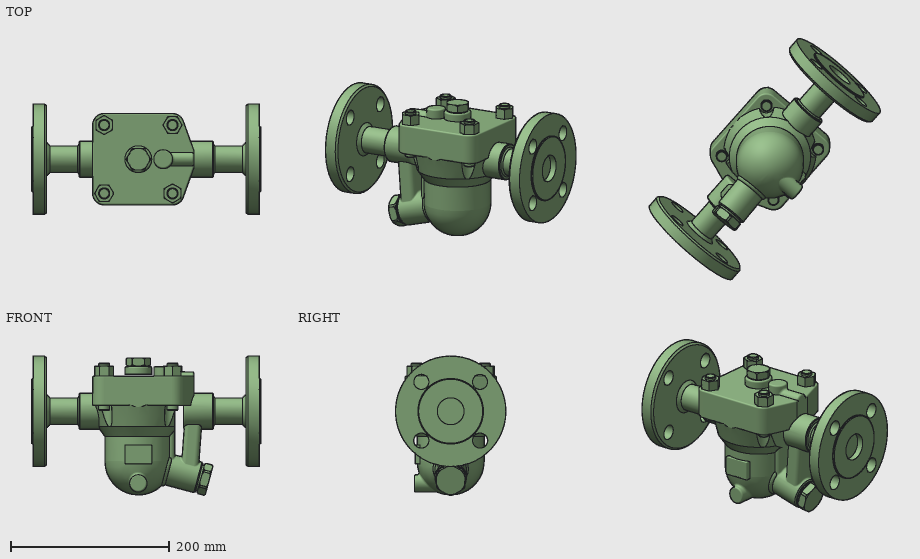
import cadquery as cq
import math


inlet_end_x = -135.0
outlet_end_x = 155.0
flange_dia = 140.0
flange_thickness = 19.0
flange_chamfer = 2.5
raised_face_dia = 83.0
raised_face_height = 2.0
raised_face_chamfer = 1.0
bore_dia = 34.0
bore_depth = 8.0
flange_hole_dia = 19.0
flange_hole_circle_dia = 105.0
flange_hole_count = 4
pipe_dia = 34.0
hub_height = 4.3
socket_dia = 46.0
socket_edge_chamfer = 1.0
weld_dia = 38.0
weld_length = (weld_dia - pipe_dia) / 2
inlet_socket_x = -75.0
outlet_socket_x = 95.0

cover_top_z = 44.5
cover_seam_z = 27.0
body_flange_bottom_z = 7.0
plate_half = 58.0
plate_shoulder_x = 53.5
plate_tip_x = 70.5
plate_tip_half_width = 10.5
plate_corner_radius = 15.0
plate_edge_fillet = 2.0

bowl_radius = 42.5
bowl_center_z = -63.5
skirt_taper = 15.0
skirt_bottom_radius = 51.5
skirt_bottom_z = -19.0
bowl_cylinder_top_z = -32.0

bowl_flat_x = 46.2
outlet_socket_start_x = 57.0
outlet_socket_fillet = 3.0
rib_half_width = 16.0
rib_corner_radius = 5.5
rib_bottom_z = -70.0

boss_tilt = 15.0
boss_dia = 40.0
boss_length = 79.5
boss_edge_chamfer = 1.5
boss_blend = 5.0
boss_neck_dia = 34.0
boss_hex_start = 82.0
boss_hex_end = 92.8
boss_hex_flats = 36.0
boss_hex_turned_dia = 40.0
boss_hex_chamfer = 1.5
boss_hex_turn = 90.0

riser_tilt = 4.2
riser_width = 22.0
riser_depth = 32.0
riser_corner_radius = 6.0
upright_blend = 2.0
riser_middle_x = 67.4
riser_middle_z = -42.3
riser_bottom_z = -75.0
riser_top_z = -8.0

drain_dia = 22.0
drain_z = -91.3
drain_face_y = -46.0
drain_edge_fillet = 2.0
drain_blend = 2.5
pad_width = 34.0
pad_top_z = -42.5
pad_bottom_z = -66.5
pad_face_y = -45.0
pad_back_y = -30.0
pad_edge_fillet = 1.0

cap_x = 31.5
cap_dia = 24.0
cap_top_z = 56.5
cap_edge_fillet = 2.0
passage_dia = 18.0
passage_end_fillet = 2.5
passage_center_z = 41.0
passage_blend = 3.0

stud_offset = 43.25
stud_count = 4
stud_dia = 14.0
stud_bottom_z = 1.0
stud_top_z = 60.8
stud_chamfer = 1.0
nut_flats = 21.0
nut_turned_dia = 24.2
nut_top_z = 57.2
nut_chamfer = 0.8
spotface_dia = 20.0

plug_bottom_z = 46.8
plug_collar_dia = 34.0
plug_collar_top_z = 56.5
plug_collar_fillet = 2.0
plug_neck_dia = 25.0
plug_hex_bottom_z = 57.5
plug_hex_top_z = 67.7
plug_hex_flats = 27.0
plug_hex_turned_dia = 31.0
plug_hex_chamfer = 1.5


def rod(x_start, x_end, diameter):
    """Cylinder along the pipe axis."""
    return cq.Workplane("YZ", origin=(x_start, 0, 0)).circle(diameter / 2).extrude(x_end - x_start)


def hexagon(plane, flats, height):
    """Hexagonal prism with two corners on the local X axis."""
    return cq.Workplane(plane).polygon(6, flats / math.cos(math.radians(30.0))).extrude(height)


def pipe_end(face_x, socket_x):
    """Flange, hub cone, pipe and weld cone of one end, revolved about the pipe axis."""
    inward = math.copysign(1.0, socket_x - face_x)
    back_x = face_x + inward * flange_thickness
    rim_x = face_x + inward * raised_face_height
    face_radius = raised_face_dia / 2
    profile = [
        (face_x + inward * bore_depth, 0),
        (face_x + inward * bore_depth, bore_dia / 2),
        (face_x, bore_dia / 2),
        (face_x, face_radius - raised_face_chamfer),
        (face_x + inward * raised_face_chamfer, face_radius),
        (rim_x, face_radius),
        (rim_x, flange_dia / 2),
        (back_x - inward * flange_chamfer, flange_dia / 2),
        (back_x, flange_dia / 2 - flange_chamfer),
        (back_x, pipe_dia / 2 + hub_height),
        (back_x + inward * hub_height, pipe_dia / 2),
        (socket_x - inward * weld_length, pipe_dia / 2),
        (socket_x, weld_dia / 2),
        (socket_x, 0),
    ]
    end = cq.Workplane("XY").polyline(profile).close().revolve(360, (0, 0, 0), (1, 0, 0))
    holes = (
        cq.Workplane("YZ", origin=(face_x, 0, 0))
        .polarArray(flange_hole_circle_dia / 2, 45, 360, flange_hole_count)
        .circle(flange_hole_dia / 2)
        .extrude(inward * flange_thickness)
    )
    return end.cut(holes)


def inlet_socket():
    """Socket that runs from the inlet pipe into the bowl."""
    socket = rod(inlet_socket_x, 0, socket_dia)
    return socket.faces("<X").chamfer(socket_edge_chamfer)


def outlet_socket():
    """Socket on the far side of the gap behind the bowl."""
    socket = rod(outlet_socket_start_x, outlet_socket_x, socket_dia)
    socket = socket.faces(">X").chamfer(socket_edge_chamfer)
    return socket.faces("<X").edges().fillet(outlet_socket_fillet)


def plate(bottom_z, top_z):
    """Square plate with rounded corners and a blunt point towards the outlet."""
    outline = [
        (-plate_half, -plate_half),
        (plate_shoulder_x, -plate_half),
        (plate_tip_x, -plate_tip_half_width),
        (plate_tip_x, plate_tip_half_width),
        (plate_shoulder_x, plate_half),
        (-plate_half, plate_half),
    ]
    blank = cq.Workplane("XY", origin=(0, 0, bottom_z)).polyline(outline).close().extrude(top_z - bottom_z)
    return blank.edges("|Z").edges("<X or >Y or <Y").fillet(plate_corner_radius)


def bowl():
    """Tapered skirt, cylinder and hemispherical bottom, flattened on the outlet side."""
    skirt_top_z = body_flange_bottom_z + plate_edge_fillet
    skirt_top_radius = skirt_bottom_radius + (skirt_top_z - skirt_bottom_z) * math.tan(math.radians(skirt_taper))
    shell = (
        cq.Workplane("XZ")
        .moveTo(0, skirt_top_z)
        .lineTo(skirt_top_radius, skirt_top_z)
        .lineTo(skirt_bottom_radius, skirt_bottom_z)
        .lineTo(bowl_radius, bowl_cylinder_top_z)
        .lineTo(bowl_radius, bowl_center_z)
        .radiusArc((0, bowl_center_z - bowl_radius), bowl_radius)
        .close()
        .revolve(360, (0, 0, 0), (0, 1, 0))
    )
    shell = shell.intersect(plate(bowl_center_z - bowl_radius, skirt_top_z))
    gap_height = body_flange_bottom_z - bowl_cylinder_top_z
    gap = cq.Workplane("XY", origin=(bowl_flat_x, 0, bowl_cylinder_top_z)).box(
        plate_half, 2 * plate_half, gap_height, centered=(False, True, False)
    )
    return shell.cut(gap)


def rib():
    """Upright rib down the outlet side of the bowl, flush with its flat."""
    return (
        cq.Workplane("XY", origin=(0, 0, rib_bottom_z))
        .box(bowl_flat_x, 2 * rib_half_width, body_flange_bottom_z - rib_bottom_z, centered=(False, True, False))
        .edges("|Z and >X")
        .fillet(rib_corner_radius)
    )


def boss_plane(distance):
    """Plane square to the valve boss axis, at a distance from the centre of the bowl sphere."""
    axis = cq.Vector(math.cos(math.radians(boss_tilt)), 0, -math.sin(math.radians(boss_tilt)))
    origin = cq.Vector(0, 0, bowl_center_z) + axis * distance
    return cq.Plane(origin=origin, xDir=(0, 1, 0), normal=axis)


def valve_boss():
    """Inclined round boss on the bowl."""
    boss = cq.Workplane(boss_plane(0)).circle(boss_dia / 2).extrude(boss_length)
    return boss.faces(">X").chamfer(boss_edge_chamfer)


def boss_root():
    """Ring about the boss axis with a concave round from the bowl sphere to the boss."""
    boss_radius = boss_dia / 2
    center_radius = boss_radius + boss_blend
    center_distance = math.sqrt((bowl_radius + boss_blend) ** 2 - center_radius ** 2)
    on_sphere = bowl_radius / (bowl_radius + boss_blend)
    frame = boss_plane(0)
    profile_plane = cq.Plane(origin=frame.origin, xDir=frame.zDir, normal=(0, -1, 0))
    return (
        cq.Workplane(profile_plane)
        .lineTo(center_distance, 0)
        .lineTo(center_distance, boss_radius)
        .radiusArc((center_distance * on_sphere, center_radius * on_sphere), -boss_blend)
        .close()
        .revolve(360, (0, 0, 0), (1, 0, 0))
    )


def riser():
    """Leaning column with rounded corners from the valve boss up into the outlet socket."""
    axis = cq.Vector(math.sin(math.radians(riser_tilt)), 0, math.cos(math.radians(riser_tilt)))
    middle = cq.Vector(riser_middle_x, 0, riser_middle_z)
    foot = middle + axis * ((riser_bottom_z - riser_middle_z) / axis.z)
    length = (riser_top_z - riser_bottom_z) / axis.z
    column = cq.Workplane(cq.Plane(origin=foot, xDir=(axis.z, 0, -axis.x), normal=axis))
    column = column.rect(riser_width, riser_depth).extrude(length)
    return column.edges(cq.selectors.ParallelDirSelector(axis)).fillet(riser_corner_radius)


def valve_branch():
    """Valve boss with the rib and the riser standing on it, rounded at the joints."""
    branch = valve_boss().union(rib()).union(riser())
    boss_crown_z = bowl_center_z + boss_dia / 2
    for foot_x in (bowl_flat_x, riser_middle_x - riser_width / 2):
        crown = (foot_x, 0, boss_crown_z - foot_x * math.tan(math.radians(boss_tilt)))
        branch = branch.edges(cq.selectors.NearestToPointSelector(crown)).fillet(upright_blend)
    return branch.union(boss_root())


def valve_plug():
    """Neck and hexagon head on the end of the valve boss."""
    neck = cq.Workplane(boss_plane(boss_length)).circle(boss_neck_dia / 2).extrude(boss_hex_start - boss_length)
    height = boss_hex_end - boss_hex_start
    turned = cq.Workplane(boss_plane(boss_hex_start)).circle(boss_hex_turned_dia / 2).extrude(height)
    turned = turned.edges("%CIRCLE").chamfer(boss_hex_chamfer)
    head_plane = boss_plane(boss_hex_start).rotated((0, 0, boss_hex_turn))
    return neck.union(hexagon(head_plane, boss_hex_flats, height).intersect(turned))


def add_drain_boss(body):
    """Add the blind boss low on the -Y side of the bowl, rounded at its root."""
    boss = cq.Workplane("XZ", origin=(0, 0, drain_z)).circle(drain_dia / 2).extrude(-drain_face_y)
    boss = boss.faces("<Y").edges().fillet(drain_edge_fillet)
    crown_z = drain_z + drain_dia / 2
    root_y = -math.sqrt(bowl_radius ** 2 - (crown_z - bowl_center_z) ** 2)
    root = cq.selectors.NearestToPointSelector((0, root_y, drain_z))
    return body.union(boss).edges("%BSPLINE").edges(root).fillet(drain_blend)


def name_pad():
    """Flat rectangular pad on the -Y side of the bowl."""
    pad = cq.Workplane("XY", origin=(0, pad_face_y, pad_bottom_z)).box(
        pad_width, pad_back_y - pad_face_y, pad_top_z - pad_bottom_z, centered=(True, False, False)
    )
    return pad.edges("|Y or <Y").fillet(pad_edge_fillet)


def cover_passage():
    """Half-buried round passage from the cap to the tip of the cover."""
    passage = rod(cap_x, plate_tip_x, passage_dia).translate((0, 0, passage_center_z))
    return passage.faces(">X").edges().fillet(passage_end_fillet)


def cap():
    """Round cap over the end of the passage."""
    cylinder = cq.Workplane("XY", origin=(cap_x, 0, cover_seam_z)).circle(cap_dia / 2)
    cylinder = cylinder.extrude(cap_top_z - cover_seam_z)
    return cylinder.faces(">Z").edges().fillet(cap_edge_fillet)


def capped_passage():
    """Passage and cap joined with a round."""
    joined = cover_passage().union(cap())
    return joined.edges("%BSPLINE").edges(">X").fillet(passage_blend)


def spotfaces():
    """Cuts that clear the skirt below each stud."""
    return (
        cq.Workplane("XY", origin=(0, 0, skirt_bottom_z))
        .rect(2 * stud_offset, 2 * stud_offset, forConstruction=True)
        .vertices()
        .circle(spotface_dia / 2)
        .extrude(body_flange_bottom_z - skirt_bottom_z)
    )


def stud_with_nut():
    """Stud through both plates with a nut on the cover, standing on the Z axis."""
    stud = cq.Workplane("XY", origin=(0, 0, stud_bottom_z)).circle(stud_dia / 2).extrude(stud_top_z - stud_bottom_z)
    stud = stud.edges("%CIRCLE").chamfer(stud_chamfer)
    height = nut_top_z - cover_top_z
    turned = cq.Workplane("XY", origin=(0, 0, cover_top_z)).circle(nut_turned_dia / 2).extrude(height)
    turned = turned.faces(">Z").chamfer(nut_chamfer)
    nut = hexagon(cq.Plane(origin=(0, 0, cover_top_z)), nut_flats, height).intersect(turned)
    return stud.union(nut)


def make_trap():
    """Body, cover, studs and pipe ends as one solid."""
    plates = plate(body_flange_bottom_z, cover_top_z)
    plates = plates.faces("<Z or >Z").edges().fillet(plate_edge_fillet)
    body = plates.union(capped_passage())
    body = body.union(add_drain_boss(bowl().cut(spotfaces()))).union(name_pad())
    body = body.union(valve_branch()).union(valve_plug())
    body = body.union(inlet_socket()).union(outlet_socket())
    fastener = stud_with_nut().translate((-stud_offset, -stud_offset, 0))
    for index in range(stud_count):
        body = body.union(fastener.rotate((0, 0, 0), (0, 0, 1), 360 / stud_count * index))
    body = body.union(pipe_end(inlet_end_x, inlet_socket_x))
    return body.union(pipe_end(outlet_end_x, outlet_socket_x))


def make_cover_plug():
    """Loose plug above the cover: collar, neck and hexagon head."""
    collar = cq.Workplane("XY", origin=(0, 0, plug_bottom_z)).circle(plug_collar_dia / 2)
    collar = collar.extrude(plug_collar_top_z - plug_bottom_z)
    collar = collar.faces(">Z").edges().fillet(plug_collar_fillet)
    neck = cq.Workplane("XY", origin=(0, 0, plug_collar_top_z)).circle(plug_neck_dia / 2)
    neck = neck.extrude(plug_hex_bottom_z - plug_collar_top_z)
    height = plug_hex_top_z - plug_hex_bottom_z
    turned = cq.Workplane("XY", origin=(0, 0, plug_hex_bottom_z)).circle(plug_hex_turned_dia / 2).extrude(height)
    turned = turned.edges("%CIRCLE").chamfer(plug_hex_chamfer)
    head = hexagon(cq.Plane(origin=(0, 0, plug_hex_bottom_z)), plug_hex_flats, height).intersect(turned)
    return collar.union(neck).union(head)


trap = make_trap()
cover_plug = make_cover_plug()

result = cq.Compound.makeCompound([trap.val(), cover_plug.val()])